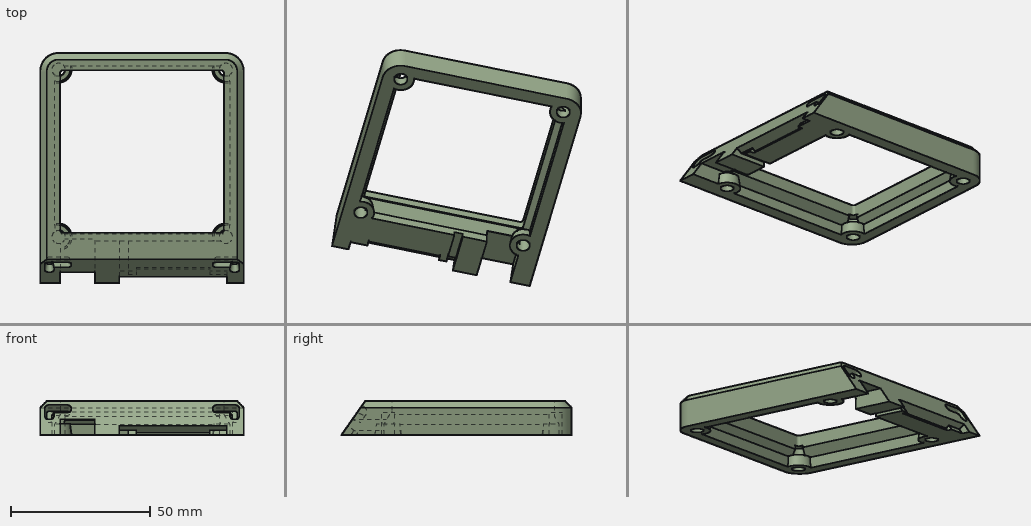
import cadquery as cq
import math

width = 73.1
length = 82.7
height = 12.2
corner_radius = 6.6
top_chamfer = 2.4
front_lean = 35.0

window_width = 58.7
window_length = 58.2
window_centre_y = 5.95
window_corner_radius = 1.0
cavity_side = 62.9
cavity_centre_y = 5.3
cavity_straight_height = 4.0
cavity_taper_height = 4.5
cavity_taper = 30.0

boss_spacing = 60.05
boss_centre_y = 5.4
boss_base_radius = 4.8
boss_top_radius = 4.2
boss_height = 4.1
bore_diameter = 4.7
bore_depth = 8.3

cable_left, cable_right, cable_height = -29.4, -16.95, 5.6
port_left, port_right, port_height = -8.1, 30.4, 3.3
port_depth = 2.65
port_deep_left, port_deep_right = -2.15, 24.2
port_deep_depth = 4.2
passage_right, passage_height = -5.0, 1.8

slot_width = 3.4
slot_depth = 2.9
slot_draft = 15.0
slot_outer_x = 33.25
slot_inner_x = 27.05
slot_arm_drop = 3.4
slot_leg_drop = 6.4

front_y = -length / 2
front_setback = height * math.tan(math.radians(front_lean))
face_height = height / math.cos(math.radians(front_lean))
cavity_front_y = cavity_centre_y - cavity_side / 2
overlap = 0.8


def block(x_min, x_max, y_min, y_max, z_min, z_max):
    size = (x_max - x_min, y_max - y_min, z_max - z_min)
    return cq.Workplane("XY").box(*size, centered=False).translate((x_min, y_min, z_min))


def front_face_plane():
    """Plane on the front face: X along the lower edge, Y up the slope, normal outward."""
    lean = math.radians(front_lean)
    return cq.Plane(
        origin=(0, front_y, 0), xDir=(1, 0, 0), normal=(0, -math.cos(lean), math.sin(lean))
    )


def make_body():
    body = cq.Workplane("XY").box(width, length, height, centered=(True, True, False))
    body = body.edges("|Z and >Y").fillet(corner_radius)
    body = body.faces(">Z").edges("not <Y").chamfer(top_chamfer)
    front_wedge = (
        cq.Workplane("YZ")
        .polyline([(front_y, 0), (front_y + front_setback, height), (front_y, height)])
        .close()
        .extrude(width / 2, both=True)
    )
    return body.cut(front_wedge)


def make_cavity():
    window = (
        cq.Workplane("XY")
        .center(0, window_centre_y)
        .rect(window_width, window_length)
        .extrude(height)
        .edges("|Z")
        .fillet(window_corner_radius)
    )
    straight = (
        cq.Workplane("XY")
        .center(0, cavity_centre_y)
        .rect(cavity_side, cavity_side)
        .extrude(cavity_straight_height)
    )
    tapered = (
        cq.Workplane("XY", origin=(0, cavity_centre_y, cavity_straight_height))
        .rect(cavity_side, cavity_side)
        .extrude(cavity_taper_height, taper=cavity_taper)
    )
    return window.union(straight).union(tapered)


def boss_centre(x_side, y_side):
    return x_side * boss_spacing / 2, boss_centre_y + y_side * boss_spacing / 2


def make_boss_webs(x_side, y_side):
    """Blocks that join a boss to the two cavity walls of its corner."""
    x, y = boss_centre(x_side, y_side)
    wall_x = x_side * (cavity_side / 2 + overlap)
    wall_y = cavity_centre_y + y_side * (cavity_side / 2 + overlap)
    half_web = boss_top_radius
    side_web = block(min(x, wall_x), max(x, wall_x), y - half_web, y + half_web, 0, boss_height)
    end_web = block(x - half_web, x + half_web, min(y, wall_y), max(y, wall_y), 0, boss_height)
    return side_web.union(end_web)


def make_boss(x_side, y_side):
    draft = math.degrees(math.atan((boss_base_radius - boss_top_radius) / boss_height))
    boss = cq.Workplane("XY").circle(boss_base_radius).extrude(boss_height, taper=draft)
    return boss.translate((*boss_centre(x_side, y_side), 0))


def make_bores():
    return (
        cq.Workplane("XY", origin=(0, boss_centre_y, 0))
        .rect(boss_spacing, boss_spacing, forConstruction=True)
        .vertices()
        .circle(bore_diameter / 2)
        .extrude(bore_depth)
    )


def make_port_step(x_left, x_right, depth):
    """Notch in the foot of the front face, sunk square to that face."""
    top = port_height / math.cos(math.radians(front_lean))
    bottom = -port_deep_depth
    return (
        cq.Workplane(front_face_plane())
        .workplane(offset=overlap)
        .center((x_left + x_right) / 2, (top + bottom) / 2)
        .rect(x_right - x_left, top - bottom)
        .extrude(-(depth + overlap))
    )


def make_hanging_slot(side):
    arm_y = face_height - slot_arm_drop
    leg_y = face_height - slot_leg_drop
    arm = (
        cq.Workplane(front_face_plane())
        .center(side * (slot_outer_x + slot_inner_x) / 2, arm_y)
        .slot2D(slot_outer_x - slot_inner_x + slot_width, slot_width)
        .extrude(-slot_depth, taper=slot_draft)
    )
    leg = (
        cq.Workplane(front_face_plane())
        .center(side * slot_outer_x, (arm_y + leg_y) / 2)
        .slot2D(arm_y - leg_y + slot_width, slot_width, 90)
        .extrude(-slot_depth, taper=slot_draft)
    )
    return arm.union(leg)


corners = [(x_side, y_side) for x_side in (-1, 1) for y_side in (-1, 1)]

result = make_body().cut(make_cavity())
for corner in corners:
    result = result.union(make_boss_webs(*corner))

cut_front_y = front_y - overlap
cut_back_y = cavity_front_y + overlap
result = result.cut(block(cable_left, cable_right, cut_front_y, cut_back_y, 0, cable_height))
result = result.cut(block(port_left, passage_right, cut_front_y, cut_back_y, 0, passage_height))

result = result.cut(make_port_step(port_left, port_right, port_depth))
result = result.cut(make_port_step(port_deep_left, port_deep_right, port_deep_depth))

for corner in corners:
    result = result.union(make_boss(*corner))
result = result.cut(make_bores())

for side in (-1, 1):
    result = result.cut(make_hanging_slot(side))